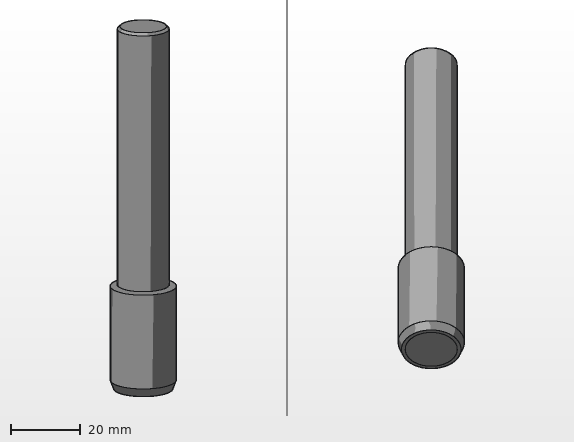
import cadquery as cq

pin_length = 108.0
pin_diameter = 14.9
pin_tip_chamfer = 0.8

sleeve_diameter = 19.0
sleeve_height = 31.0
sleeve_top_drop = 0.4
lead_in_height = 2.6
lead_in_depth = 1.0

pin_radius = pin_diameter / 2
sleeve_radius = sleeve_diameter / 2


def make_pin():
    """Plain round pin with a chamfered upper end."""
    pin = cq.Workplane("XY").circle(pin_radius).extrude(pin_length)
    return pin.faces(">Z").edges().chamfer(pin_tip_chamfer)


def make_sleeve():
    """Sleeve around the pin: tapered lead-in below, shallow conical face on top."""
    wall_profile = [
        (pin_radius, 0),
        (sleeve_radius - lead_in_depth, 0),
        (sleeve_radius, lead_in_height),
        (sleeve_radius, sleeve_height - sleeve_top_drop),
        (pin_radius, sleeve_height),
    ]
    return cq.Workplane("XZ").polyline(wall_profile).close().revolve(360, (0, 0, 0), (0, 1, 0))


pin = make_pin()
sleeve = make_sleeve()

result = cq.Compound.makeCompound([pin.val(), sleeve.val()])